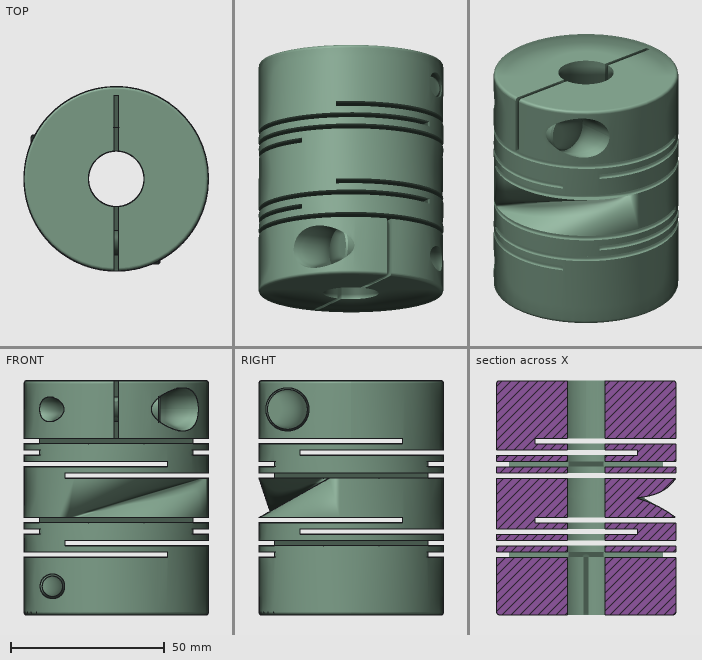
import cadquery as cq

length = 76.2
diameter = 60.0
bore_diameter = 18.0
rim_fillet = 1.0
half_length = length / 2
radius = diameter / 2

slot_width = 1.6
slot_reach = 16.6
inner_slot_z = 7.25
slot_pitch = 3.7
outer_slot_z = inner_slot_z + 3 * slot_pitch

open_side_turn = {"-Y": 0, "+X": 90, "+Y": 180, "-X": 270}
upper_slot_sides = ["+X", "-X", "+Y", "-Y"]
lower_slot_sides = ["-Y", "+Y", "+X", "-X"]

slit_width = 1.5
slit_reach = 27.1
slit_floor_z = outer_slot_z + slot_width / 2

screw_diameter = 8.0
screw_offset = 20.7
screw_z = 28.7
screw_tip_x = -16.6
tip_chamfer = 0.7
head_diameter = 14.0
head_height = 8.0
head_top_x = 14.2
head_chamfer = 0.5


def make_body():
    body = cq.Workplane("XY").circle(radius).extrude(half_length, both=True)
    body = body.faces("<Z or >Z").edges().fillet(rim_fillet)
    bore = cq.Workplane("XY").circle(bore_diameter / 2).extrude(half_length, both=True)
    return body.cut(bore)


def make_slot(z, open_side):
    """Slot cutter centred at height z, open towards the given side."""
    slot = cq.Workplane("XY").box(diameter, radius + slot_reach, slot_width, centered=(True, False, True))
    slot = slot.translate((0, -radius, z))
    return slot.rotate((0, 0, 0), (0, 0, 1), open_side_turn[open_side])


def make_slit():
    """Slit cutter of the upper end, open towards -Y."""
    slit = cq.Workplane("XY").box(
        slit_width, radius + slit_reach, half_length - slit_floor_z, centered=(True, False, False)
    )
    return slit.translate((0, -radius, slit_floor_z))


def screw_cylinder(cylinder_diameter, start_x, end_x):
    """Cylinder on the axis of the upper clamp screw."""
    plane = cq.Workplane("YZ", origin=(start_x, -screw_offset, screw_z))
    return plane.circle(cylinder_diameter / 2).extrude(end_x - start_x)


def make_screw_holes():
    """Open hole beyond the screw tip, and the counterbore around and beyond the head."""
    tip_hole = screw_cylinder(screw_diameter, -radius, screw_tip_x + tip_chamfer)
    counterbore = screw_cylinder(head_diameter, head_top_x - head_chamfer, radius)
    return tip_hole.union(counterbore)


def make_screw():
    shank = screw_cylinder(screw_diameter, screw_tip_x, head_top_x - head_height)
    shank = shank.faces("<X").chamfer(tip_chamfer)
    head = screw_cylinder(head_diameter, head_top_x - head_height, head_top_x)
    head = head.faces(">X").chamfer(head_chamfer)
    return shank.union(head)


def to_lower_end(shape):
    """Half turn about the X = Y diagonal, which carries the upper clamp to the lower end."""
    return shape.rotate((0, 0, 0), (1, 1, 0), 180)


result = make_body()

for step, (upper_side, lower_side) in enumerate(zip(upper_slot_sides, lower_slot_sides)):
    slot_z = inner_slot_z + step * slot_pitch
    result = result.cut(make_slot(slot_z, upper_side))
    result = result.cut(make_slot(-slot_z, lower_side))

slit = make_slit()
screw_holes = make_screw_holes()
screw = make_screw()
result = result.cut(slit).cut(screw_holes).union(screw)
result = result.cut(to_lower_end(slit)).cut(to_lower_end(screw_holes)).union(to_lower_end(screw))